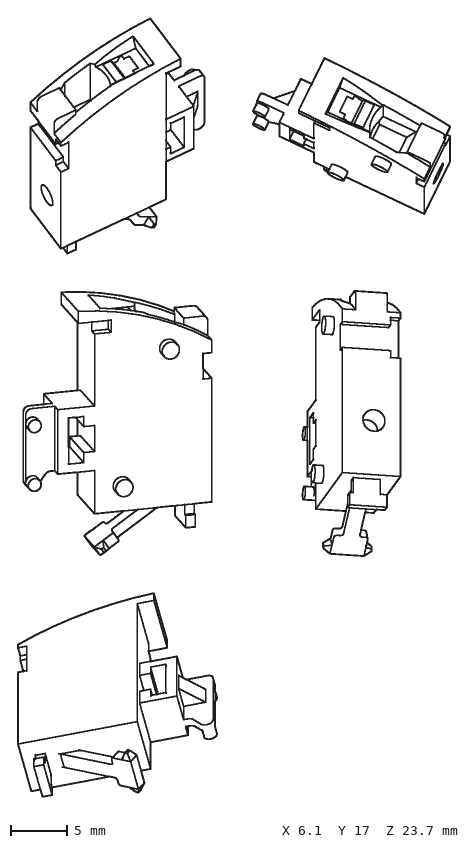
import cadquery as cq
import math


housing_width = 5.3
housing_depth = 10.9
housing_height = 19.3
front_height = 15.3
mid_x = housing_width / 2

cap_end = 12.41
cap_thickness = 1.15
cap_underside = housing_height - cap_thickness
top_radius = 25.0

recess_depth = 0.85
recess_length = 1.55
recess_height = 1.15

stop_width = 2.9
stop_left = 1.2
stop_length = 2.27
stop_top = 17.2
stop_round = 0.5

groove_depth = 0.8
groove_bottom = 11.7
groove_top = 14.1
tall_groove_bottom = 11.05
tall_groove_top = 14.8
tall_groove_left = 4.4

test_hole_diameter = 2.0
test_hole_depth = 3.0
test_hole_x = 2.88
test_hole_z = 5.07

side_pin_radius = 0.8
side_pin_length = 0.8
side_pin_places = [(4.05, 15.0), (8.36, 2.45)]

bracket_width = 4.4
bracket_end = 14.31
bracket_bottom = 4.1
bracket_top = 10.2
opening_end = 13.3
opening_step = 11.9
opening_bottom = 4.95
opening_top = 9.3
throat_bottom = 5.9
throat_top = 8.35

plate_left = 0.95
plate_thickness = 0.8
plate_right = plate_left + plate_thickness
plate_end = 17.0
plate_corner_round = 0.55
plate_foot_start = 15.0
foot_round = 0.6
latch_pin_radius = 0.6
latch_pin_length = 0.8
latch_pin_y = plate_end - latch_pin_radius
lower_pin_z = 3.25
upper_pin_z = 8.8
gusset_length = 2.0
gusset_thickness = 2.0

window_floor = 17.85
window_front = 6.0
window_rear = 10.15
floor_left = 1.27
floor_right = 3.72
window_rim_height = 1.23
window_left_flare = 0.47
window_right_flare = 0.71

pocket_left = 0.8
pocket_right = 3.95
pocket_front = 2.27
pocket_corner_y = 3.1
pocket_corner_x = 1.2
pocket_rear_left_y = 5.72
pocket_rear_mid = (2.57, 6.33)
pocket_rear_right_y = 5.97
pocket_floor = 12.0
pocket_floor_left = 1.29
pocket_floor_right = 3.35
pocket_floor_front = 3.35
pocket_floor_rear = 6.02
funnel_taper = math.radians(30)
funnel_height = 2.5

spring_gap = 0.07
spring_front = 6.70
spring_crest_end = 7.21
spring_ramp_top = 7.58
spring_valley_front = 7.85
spring_valley_rear = 8.02
spring_bend = 8.30
spring_rear = 8.65
spring_valley_drop = 0.55
spring_bend_drop = 0.32
spring_ramp_drop = 0.12
spring_base_drop = 1.0
tongue_left = 1.75
tongue_right = 3.3
tongue_end = 9.2
tongue_thickness = 0.4

leg_front = 1.24
leg_thickness = 0.89
leg_rear = leg_front + leg_thickness
leg_width = 2.48
leg_x = 2.51
leg_head_width = 3.4
leg_head_top = -1.38
leg_bottom = -2.55

blade_angle = math.radians(33.5)
blade_thickness = 1.0
blade_tip_y = 10.04
blade_tip_z = -4.37
blade_width = 3.1
blade_neck_width = 1.5
shoulder_place = 2.15
shoulder_round = 0.25
nub_length = 1.0
nub_height = 0.65
nub_flat_length = 0.25
nub_flat_height = 0.45


def box(x_range, y_range, z_range):
    """Box between two limits along each axis."""
    sizes = [high - low for low, high in (x_range, y_range, z_range)]
    return cq.Workplane("XY").box(*sizes, centered=False).translate((x_range[0], y_range[0], z_range[0]))


def side_profile(x_start):
    """Workplane in (y, z), facing +X, at the given x."""
    return cq.Workplane("YZ", origin=(x_start, 0, 0))


def side_pins(places, radius, root_x, length):
    """Round pins that stand out towards -X from root_x."""
    return side_profile(root_x).pushPoints(places).circle(radius).extrude(-length)


def housing_block():
    chord = math.hypot(cap_end, housing_height - front_height)
    bulge = top_radius - math.sqrt(top_radius**2 - (chord / 2) ** 2)
    crown_y = cap_end / 2 - bulge * (housing_height - front_height) / chord
    crown_z = (housing_height + front_height) / 2 + bulge * cap_end / chord
    block = (
        side_profile(0)
        .lineTo(housing_depth, 0)
        .lineTo(housing_depth, cap_underside)
        .lineTo(cap_end, cap_underside)
        .lineTo(cap_end, housing_height)
        .threePointArc((crown_y, crown_z), (0, front_height))
        .close()
        .extrude(housing_width)
    )
    recess = box(
        (0, recess_depth),
        (housing_depth - recess_length, housing_depth),
        (cap_underside - recess_height, cap_underside),
    )
    groove = box((0, housing_width), (0, groove_depth), (groove_bottom, groove_top))
    tall_groove = box(
        (tall_groove_left, housing_width), (0, groove_depth), (tall_groove_bottom, tall_groove_top)
    )
    test_hole = (
        cq.Workplane("XZ")
        .center(test_hole_x, test_hole_z)
        .circle(test_hole_diameter / 2)
        .extrude(-test_hole_depth)
    )
    return block.cut(recess).cut(groove).cut(tall_groove).cut(test_hole)


def stop_block():
    stop = box((stop_left, stop_left + stop_width), (0, stop_length), (tall_groove_top, stop_top))
    return stop.edges("|X and >Z and <Y").fillet(stop_round)


def rear_bracket():
    bracket = box((0, bracket_width), (housing_depth, bracket_end), (bracket_bottom, bracket_top))
    opening = box((0, bracket_width), (opening_step, opening_end), (opening_bottom, opening_top))
    throat = box((0, bracket_width), (housing_depth, opening_step), (throat_bottom, throat_top))
    return bracket.cut(opening).cut(throat)


def latch_plate():
    plate = box((plate_left, plate_right), (bracket_end, plate_end), (bracket_bottom, bracket_top))
    plate = plate.edges("|X and >Y and >Z").fillet(plate_corner_round)

    to_start_y = plate_foot_start - latch_pin_y
    to_start_z = bracket_bottom - lower_pin_z
    start_distance = math.hypot(to_start_y, to_start_z)
    tangent_angle = math.atan2(to_start_z, to_start_y) + math.acos(latch_pin_radius / start_distance)
    tangent_y = latch_pin_y + latch_pin_radius * math.cos(tangent_angle)
    tangent_z = lower_pin_z + latch_pin_radius * math.sin(tangent_angle)
    foot = (
        side_profile(plate_left)
        .moveTo(bracket_end, bracket_top - plate_corner_round)
        .lineTo(bracket_end, bracket_bottom)
        .lineTo(plate_foot_start, bracket_bottom)
        .lineTo(tangent_y, tangent_z)
        .threePointArc((latch_pin_y, lower_pin_z - latch_pin_radius), (plate_end, lower_pin_z))
        .lineTo(plate_end, bracket_top - plate_corner_round)
        .close()
        .extrude(plate_thickness)
    )
    foot_corner = cq.selectors.NearestToPointSelector(
        (plate_left + plate_thickness / 2, plate_foot_start, bracket_bottom)
    )
    foot = foot.edges(foot_corner).fillet(foot_round)

    gusset_bottom = (bracket_bottom + bracket_top - gusset_thickness) / 2
    gusset = (
        cq.Workplane("XY", origin=(plate_right, bracket_end, gusset_bottom))
        .lineTo(gusset_length, 0)
        .lineTo(0, gusset_length)
        .close()
        .extrude(gusset_thickness)
    )
    pin_places = [(latch_pin_y, lower_pin_z), (latch_pin_y, upper_pin_z)]
    pins = side_pins(pin_places, latch_pin_radius, plate_left, latch_pin_length)
    return plate.union(foot).union(gusset).union(pins)


def upper_window():
    cut_height = 2 * window_rim_height
    left_flare = window_left_flare * cut_height / window_rim_height
    right_flare = window_right_flare * cut_height / window_rim_height
    return (
        cq.Workplane("XZ", origin=(0, window_rear, window_floor))
        .moveTo(floor_left, 0)
        .lineTo(floor_right, 0)
        .lineTo(floor_right + right_flare, cut_height)
        .lineTo(floor_left - left_flare, cut_height)
        .close()
        .extrude(window_rear - window_front)
    )


def deep_pocket():
    shaft = (
        cq.Workplane("XY", origin=(0, 0, pocket_floor))
        .moveTo(pocket_corner_x, pocket_front)
        .lineTo(pocket_right, pocket_front)
        .lineTo(pocket_right, pocket_rear_right_y)
        .threePointArc(pocket_rear_mid, (pocket_left, pocket_rear_left_y))
        .lineTo(pocket_left, pocket_corner_y)
        .close()
        .extrude(housing_height - pocket_floor)
    )
    flare = funnel_height * math.tan(funnel_taper)
    floor_width = pocket_floor_right - pocket_floor_left
    floor_length = pocket_floor_rear - pocket_floor_front
    floor_middle = (pocket_floor_left + floor_width / 2, pocket_floor_front + floor_length / 2, pocket_floor)
    funnel = (
        cq.Workplane("XY", origin=floor_middle)
        .rect(floor_width, floor_length)
        .workplane(offset=funnel_height)
        .rect(floor_width + 2 * flare, floor_length + 2 * flare)
        .loft(ruled=True)
    )
    above_funnel = box(
        (0, housing_width), (0, window_rear), (pocket_floor + funnel_height, housing_height)
    )
    return shaft.intersect(funnel.union(above_funnel))


def spring_seat():
    base_z = window_floor - spring_base_drop
    return box((floor_left, floor_right), (spring_front, spring_rear), (base_z, window_floor))


def leaf_spring():
    base_z = window_floor - spring_base_drop
    valley_z = window_floor - spring_valley_drop
    bend_z = window_floor - spring_bend_drop
    ramp_z = window_floor - spring_ramp_drop
    leaf = (
        side_profile(floor_left + spring_gap)
        .moveTo(spring_front, base_z)
        .lineTo(spring_front, window_floor)
        .lineTo(spring_crest_end, window_floor)
        .lineTo(spring_ramp_top, ramp_z)
        .lineTo(spring_valley_front, valley_z)
        .lineTo(spring_valley_rear, valley_z)
        .tangentArcPoint((spring_bend, bend_z), relative=False)
        .tangentArcPoint((spring_rear, window_floor), relative=False)
        .lineTo(spring_rear, base_z)
        .close()
        .extrude(floor_right - floor_left - 2 * spring_gap)
    )
    return leaf.union(spring_tongue())


def spring_tongue():
    tongue_bottom = window_floor - tongue_thickness
    return box((tongue_left, tongue_right), (spring_rear, tongue_end), (tongue_bottom, window_floor))


def slanted_blade(length):
    """Blade drawn on its tilted underside, from the tip upwards, as one half and its mirror image."""
    half_head = blade_width / 2
    half_neck = blade_neck_width / 2
    blade_plane = cq.Plane(
        origin=(mid_x, blade_tip_y, blade_tip_z),
        xDir=(0, -math.cos(blade_angle), math.sin(blade_angle)),
        normal=(0, math.sin(blade_angle), math.cos(blade_angle)),
    )
    half_blade = (
        cq.Workplane(blade_plane)
        .lineTo(0, half_head)
        .lineTo(shoulder_place, half_head)
        .lineTo(shoulder_place, half_neck)
        .lineTo(length, half_neck)
        .lineTo(length, 0)
        .close()
        .extrude(blade_thickness)
    )
    for corner_x in (half_head, half_neck):
        corner_point = blade_plane.toWorldCoords((shoulder_place, corner_x, blade_thickness / 2))
        corner_edge = cq.selectors.NearestToPointSelector(corner_point.toTuple())
        half_blade = half_blade.edges(corner_edge).fillet(shoulder_round)
    nub_plane = cq.Plane(
        origin=blade_plane.toWorldCoords((nub_length / 2, half_head, blade_thickness / 2)),
        xDir=blade_plane.xDir,
        normal=blade_plane.yDir,
    )
    nub = (
        cq.Workplane(nub_plane)
        .rect(nub_length, blade_thickness)
        .workplane(offset=nub_height)
        .rect(nub_flat_length, nub_flat_height)
        .loft()
    )
    half = half_blade.union(nub)
    return half.union(half.mirror("YZ", (mid_x, 0, 0)))


def contact_body():
    upper_face_y = blade_tip_y + blade_thickness * math.sin(blade_angle)
    upper_face_z = blade_tip_z + blade_thickness * math.cos(blade_angle)
    leg_top = upper_face_z + (upper_face_y - leg_front) * math.tan(blade_angle)
    full_length = (upper_face_y - leg_front) / math.cos(blade_angle)
    blade = slanted_blade(full_length)
    half_leg = leg_width / 2
    half_head = leg_head_width / 2
    leg = box((leg_x - half_leg, leg_x + half_leg), (leg_front, leg_rear), (leg_head_top, leg_top))
    leg_head = box((mid_x - half_head, mid_x + half_head), (leg_front, leg_rear), (leg_bottom, leg_head_top))
    trim = box((0, housing_width), (leg_front - 2 * blade_thickness, leg_front), (0, 2 * leg_top))
    return leg.union(leg_head).union(blade.cut(trim))


contact = contact_body()
spring = leaf_spring()
housing = (
    housing_block()
    .union(side_pins(side_pin_places, side_pin_radius, 0, side_pin_length))
    .cut(upper_window())
    .cut(deep_pocket())
    .cut(spring_seat())
    .cut(spring_tongue())
    .cut(contact)
    .union(stop_block())
    .union(rear_bracket())
    .union(latch_plate())
)

result = cq.Compound.makeCompound([housing.val(), spring.val(), contact.val()])